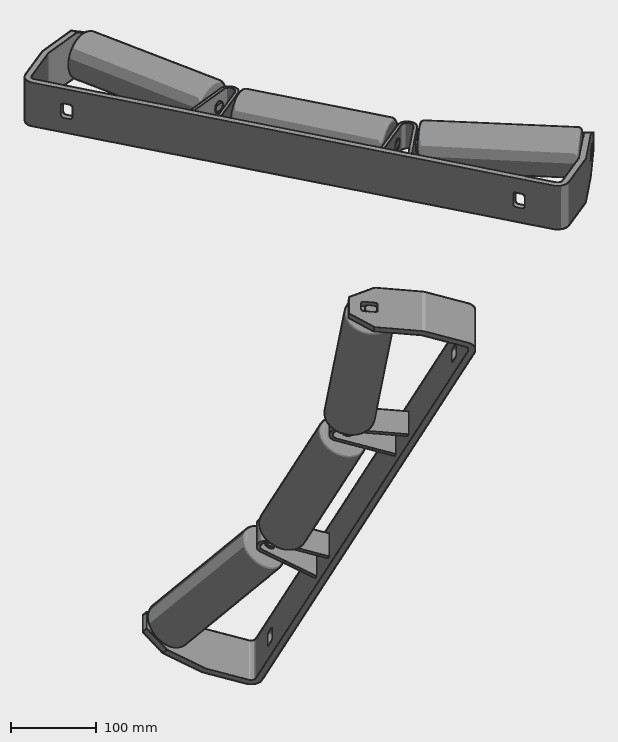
import cadquery as cq
import math

frame_length = 680.0
frame_depth = 155.0
frame_height = 60.0
frame_thickness = 8.0
frame_bend_radius = 14.0
wing_start_y = 70.0
wing_angle = 15.0
tip_width = 25.0
tip_taper_length = 30.0
mounting_slot_x = 283.0
slot_length = 20.0
slot_width = 14.0
slot_corner_radius = 3.5
cut_depth = 27.0

bracket_height = 35.0
bracket_thickness = 4.0
bracket_bend_radius = 11.5
bracket_bend_y = 83.0
bracket_face_x = 100.0

roller_diameter = 60.0
roller_length = 190.0
roller_edge_radius = 5.0
axle_diameter = 14.0
axle_flat_width = 9.5
axle_clearance = 0.35
roller_drop = 2.0
center_axle_y = 71.0
wing_axle_offset = 41.5

wing_sin = math.sin(math.radians(wing_angle))
wing_cos = math.cos(math.radians(wing_angle))
half_length = frame_length / 2
bracket_center_x = bracket_face_x + bracket_bend_radius
axle_length = 2 * (bracket_face_x + bracket_thickness)
wing_slot_rise = (slot_length - axle_diameter) / 2 - axle_clearance
axle_hole_diameter = axle_diameter + 2 * axle_clearance

bracket_station = bracket_center_x * wing_cos + bracket_bend_y * wing_sin + bracket_bend_radius
wing_station = half_length * wing_cos + wing_start_y * wing_sin - frame_thickness
roller_station = (bracket_station + wing_station) / 2
roller_tilt = math.degrees(math.asin(roller_drop / (wing_station - bracket_station)))


def on_slope(body, station, offset):
    """Move a body lying along X at the origin onto the slope of the +X wing."""
    return body.translate((station, offset, 0)).rotate((0, 0, 0), (0, 0, 1), wing_angle)


def slot_cutter():
    """Rounded rectangular bar through X, long in Y, centred on the origin."""
    return cq.Workplane("XY").box(cut_depth, slot_length, slot_width).edges("|X").fillet(slot_corner_radius)


def make_frame():
    """Flat bar bent up at both ends, its wings leaning in and tapering to the tips."""
    wing_length = (frame_depth - wing_start_y) / wing_cos
    inner_x = half_length - frame_thickness
    inner_start_y = wing_start_y - frame_thickness * math.tan(math.radians(wing_angle / 2))
    outer_tip = (half_length - wing_length * wing_sin, frame_depth)
    inner_tip = (outer_tip[0] - frame_thickness * wing_cos, outer_tip[1] - frame_thickness * wing_sin)
    outer_bends = [(half_length, 0), (half_length, wing_start_y)]
    inner_bends = [(inner_x, frame_thickness), (inner_x, inner_start_y)]
    right_side = outer_bends + [outer_tip, inner_tip] + inner_bends[::-1]
    left_side = [(-x, y) for x, y in right_side[::-1]]

    frame = (
        cq.Workplane("XY")
        .polyline(right_side + left_side)
        .close()
        .extrude(frame_height / 2, both=True)
    )
    for points, radius in (
        (outer_bends, frame_bend_radius),
        (inner_bends, frame_bend_radius - frame_thickness),
    ):
        for x, y in points:
            for side in (1, -1):
                edge = cq.selectors.NearestToPointSelector((side * x, y, 0))
                frame = frame.edges("|Z").edges(edge).fillet(radius)

    tip_offset = outer_tip[1] * wing_cos - outer_tip[0] * wing_sin
    wedge = (
        cq.Workplane("YZ")
        .polyline([
            (0, tip_width / 2),
            (0, frame_height / 2),
            (-tip_taper_length, frame_height / 2),
        ])
        .close()
        .extrude(cut_depth / 2, both=True)
    )
    wedges = on_slope(wedge.union(wedge.mirror("XY")), wing_station, tip_offset)

    wing_slot = on_slope(slot_cutter(), wing_station, wing_axle_offset + wing_slot_rise)
    mounting_slot = (
        slot_cutter()
        .rotate((0, 0, 0), (0, 0, 1), 90)
        .rotate((0, 0, 0), (0, 1, 0), 90)
        .translate((mounting_slot_x, 0, 0))
    )
    for cutter in (wedges, wing_slot, mounting_slot):
        frame = frame.cut(cutter).cut(cutter.mirror("YZ"))
    return frame


def bracket_edge(radius):
    """Foot and bend points of one face of the strip, at a radius from the bend centre."""
    bend_x = bracket_center_x + radius * wing_cos
    bend_y = bracket_bend_y + radius * wing_sin
    foot_x = bend_x + (bend_y - frame_thickness) * wing_sin / wing_cos
    return {
        "upright_foot": (bracket_center_x - radius, frame_thickness),
        "upright_top": (bracket_center_x - radius, bracket_bend_y),
        "crown": (bracket_center_x, bracket_bend_y + radius),
        "sloped_top": (bend_x, bend_y),
        "sloped_foot": (foot_x, frame_thickness),
    }


def make_bracket():
    """Bracket on the +X side: an upright leg, a round bend and a sloped leg."""
    outer = bracket_edge(bracket_bend_radius)
    inner = bracket_edge(bracket_bend_radius - bracket_thickness)
    bracket = (
        cq.Workplane("XY")
        .moveTo(*outer["upright_foot"])
        .lineTo(*outer["upright_top"])
        .threePointArc(outer["crown"], outer["sloped_top"])
        .lineTo(*outer["sloped_foot"])
        .lineTo(*inner["sloped_foot"])
        .lineTo(*inner["sloped_top"])
        .threePointArc(inner["crown"], inner["upright_top"])
        .lineTo(*inner["upright_foot"])
        .close()
        .extrude(bracket_height / 2, both=True)
    )
    hole = (
        cq.Workplane("YZ", origin=(0, 0, -roller_drop))
        .circle(axle_hole_diameter / 2)
        .extrude(2 * bracket_thickness, both=True)
    )
    upright_hole = hole.translate((bracket_face_x, center_axle_y, 0))
    sloped_hole = on_slope(hole, bracket_station, wing_axle_offset)
    return bracket.cut(upright_hole).cut(sloped_hole)


def make_roller():
    """Roller along X with a stub axle at each end, flattened where it sits in a slot."""
    shell = (
        cq.Workplane("YZ", origin=(-roller_length / 2, 0, 0))
        .circle(roller_diameter / 2)
        .extrude(roller_length)
        .edges()
        .fillet(roller_edge_radius)
    )
    axle = (
        cq.Workplane("YZ", origin=(-axle_length / 2, 0, 0))
        .circle(axle_diameter / 2)
        .extrude(axle_length)
    )
    flats = cq.Workplane("XY").box(axle_length, axle_diameter, axle_flat_width)
    return shell.union(axle.intersect(flats))


def make_center_roller():
    """Level roller between the upright legs of the two brackets."""
    return make_roller().translate((0, center_axle_y, -roller_drop))


def make_wing_roller():
    """Roller of the +X wing, dipping from the wing down to the bracket."""
    roller = make_roller().rotate((0, 0, 0), (0, 1, 0), -roller_tilt)
    roller = roller.translate((0, 0, -roller_drop / 2))
    return on_slope(roller, roller_station, wing_axle_offset)


frame = make_frame()
center_roller = make_center_roller()
bodies = [frame.solids().val(), center_roller.solids().val()]

for make_body in (make_bracket, make_wing_roller):
    right_body = make_body().solids().val()
    bodies += [right_body, right_body.mirror("YZ")]

result = cq.Compound.makeCompound(bodies)